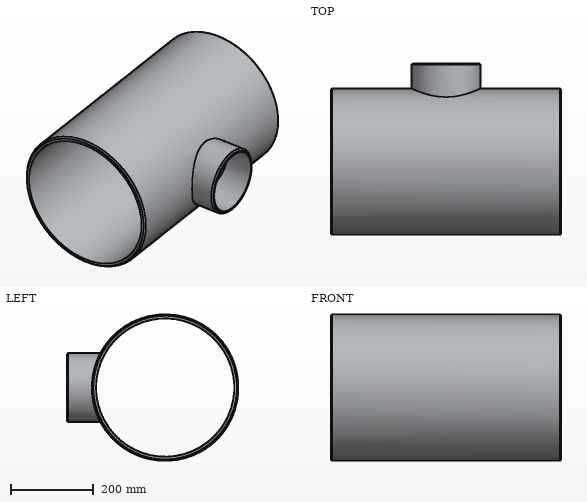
import cadquery as cq

run_length = 559.0
run_outer_diameter = 355.5
run_wall = 10.5

branch_outer_diameter = 167.5
branch_wall = 8.0
branch_reach = 238.5

end_chamfer = 4.0


def bore(workplane, diameter, wall, length):
    """Cylinder that fills the inside of a pipe."""
    return workplane.circle(diameter / 2 - wall).extrude(length)


run_start = cq.Workplane("YZ", origin=(-run_length / 2, 0, 0))
branch_start = cq.Workplane("XZ").transformed(rotate=(180, 0, 0))

run_bar = run_start.circle(run_outer_diameter / 2).extrude(run_length)
run_bar = run_bar.faces("<X or >X").chamfer(end_chamfer)
branch_bar = branch_start.circle(branch_outer_diameter / 2).extrude(branch_reach)
branch_bar = branch_bar.faces(">Y").chamfer(end_chamfer)

run_bore = bore(run_start, run_outer_diameter, run_wall, run_length)
branch_bore = bore(branch_start, branch_outer_diameter, branch_wall, branch_reach)

result = run_bar.union(branch_bar).cut(run_bore).cut(branch_bore)